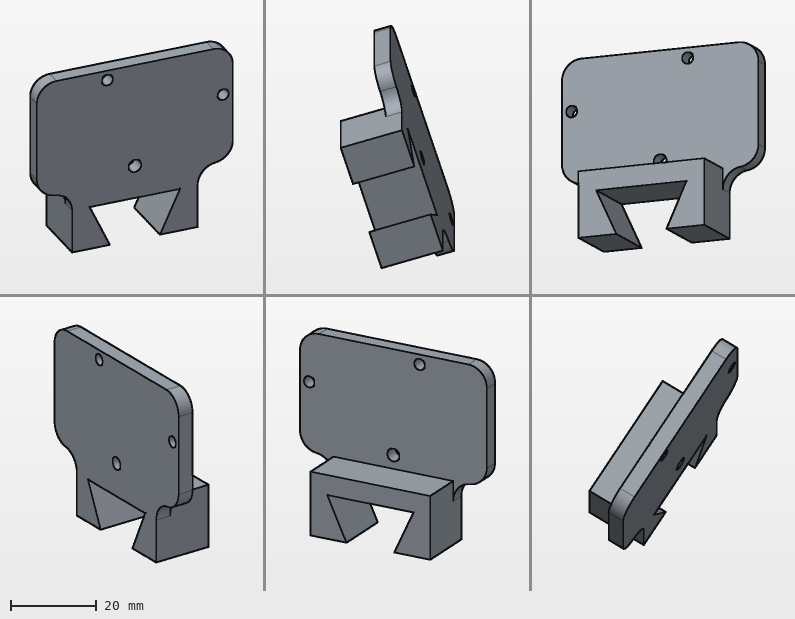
import cadquery as cq
import math

plate_width = 50.0
plate_height = 30.0
plate_thickness = 4.0
corner_radius = 5.0

block_depth = 15.0
block_width = 32.0
block_height = 16.0
dovetail_depth = 11.0
dovetail_top_width = 23.0
dovetail_flank_angle = 25.0

blend_radius = 5.0

screw_hole_diameter = 2.8
lower_hole_diameter = 3.2
hole_edge_distance = 2.5
side_hole_drop = 12.5
top_hole_y = -7.0
lower_hole_rise = 3.45

plate_half = plate_width / 2
block_half = block_width / 2
plate_bottom = block_height
plate_top = plate_bottom + plate_height
plate_front = block_depth - plate_thickness


def make_plate():
    """Rounded plate, flush with the back of the block."""
    return (
        cq.Workplane("XY")
        .box(plate_thickness, plate_width, plate_height, centered=(False, True, False))
        .edges("|X")
        .fillet(corner_radius)
        .translate((plate_front, 0, plate_bottom))
    )


def make_block():
    """Plain block that carries the dovetail slot."""
    return cq.Workplane("XY").box(
        block_depth, block_width, block_height, centered=(False, True, False)
    )


def make_dovetail_slot():
    """Slot along X, open at the bottom and wider at its roof."""
    roof_half = dovetail_top_width / 2
    mouth_half = roof_half - dovetail_depth * math.tan(math.radians(dovetail_flank_angle))
    return (
        cq.Workplane("YZ")
        .moveTo(-mouth_half, 0)
        .lineTo(-roof_half, dovetail_depth)
        .lineTo(roof_half, dovetail_depth)
        .lineTo(mouth_half, 0)
        .close()
        .extrude(block_depth)
    )


def make_blend():
    """Web on the +Y side whose concave arc is tangent to the corner round and the block."""
    corner_y = plate_half - corner_radius
    corner_z = plate_bottom + corner_radius
    arc_y = block_half + blend_radius
    center_distance = corner_radius + blend_radius
    arc_z = corner_z - math.sqrt(center_distance**2 - (arc_y - corner_y) ** 2)

    share = corner_radius / center_distance
    tangent_y = corner_y + share * (arc_y - corner_y)
    tangent_z = corner_z + share * (arc_z - corner_z)

    tangent_angle = math.atan2(tangent_z - arc_z, tangent_y - arc_y)
    middle_angle = (tangent_angle + math.pi) / 2
    middle_y = arc_y + blend_radius * math.cos(middle_angle)
    middle_z = arc_z + blend_radius * math.sin(middle_angle)

    return (
        cq.Workplane("YZ", origin=(plate_front, 0, 0))
        .moveTo(block_half, arc_z)
        .threePointArc((middle_y, middle_z), (tangent_y, tangent_z))
        .lineTo(corner_y, corner_z)
        .lineTo(block_half, corner_z)
        .close()
        .extrude(plate_thickness)
    )


def make_hole(y, z, diameter):
    """Cylinder through the plate along X."""
    return (
        cq.Workplane("YZ", origin=(plate_front, 0, 0))
        .center(y, z)
        .circle(diameter / 2)
        .extrude(plate_thickness)
    )


holes = [
    (plate_half - hole_edge_distance, plate_top - side_hole_drop, screw_hole_diameter),
    (top_hole_y, plate_top - hole_edge_distance, screw_hole_diameter),
    (0, plate_bottom + lower_hole_rise, lower_hole_diameter),
]

blend = make_blend()
result = make_plate().union(make_block()).union(blend).union(blend.mirror("XZ"))
result = result.cut(make_dovetail_slot())
for hole_y, hole_z, hole_diameter in holes:
    result = result.cut(make_hole(hole_y, hole_z, hole_diameter))